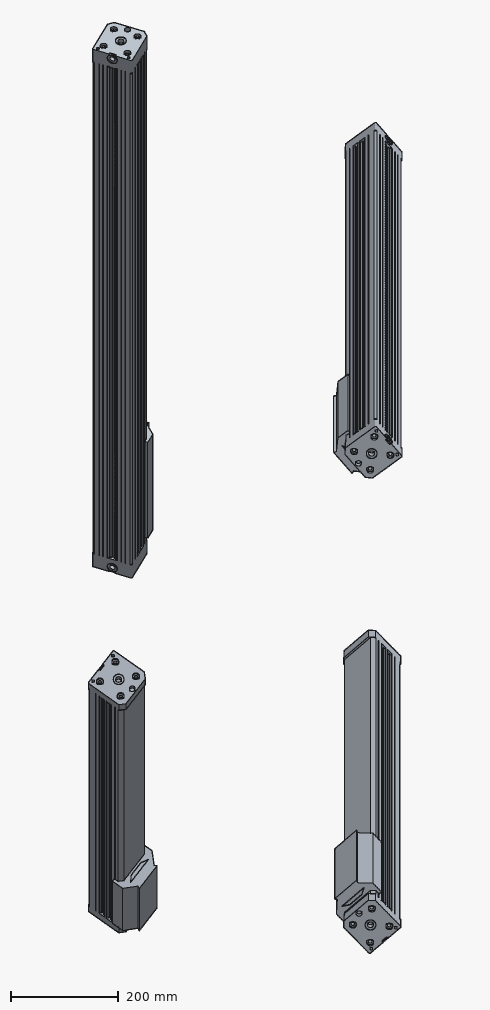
import cadquery as cq


total_length = 1350.0
half_width = 40.0
front_y = -half_width

tube_back_y = 37.5
tube_edge_chamfer = 4.0
tube_back_chamfer = 7.5

cap_length = 34.5
cap_back_y = 41.0
cap_back_chamfer = 9.5
cap_edge_fillet = 2.0

screw_offset = 24.0
screw_bore_diameter = 13.0
screw_hole_diameter = 6.65
screw_bore_depth = 6.0
screw_hole_depth = 20.0
pin_hole_diameter = 4.92
pin_hole_x = 31.0
pin_hole_y = -34.5
cushion_hole_y = 33.0
cushion_hole_diameter = 11.0
blind_hole_depth = 12.0
port_diameter = 20.0
top_port_y = 1.5
top_port_bore_diameter = 11.0
side_port_bore_diameter = 10.0
port_recess_depth = 1.5
port_bore_depth = 16.0
side_port_inset = 12.0
cap_notch_width = 12.0
cap_notch_depth = 3.5
cap_notch_height = 1.5

front_groove_widths = (20.0, 12.0, 4.0)
side_groove_widths = (12.2, 4.0)
side_groove_offset = 8.2
groove_depth = 6.0
groove_overrun = 1.0
narrow_groove_width = 1.0
narrow_groove_depth = 1.0
front_narrow_offsets = (18.5, 26.5)
side_narrow_offset = 22.3

carriage_length = 250.0
carriage_bottom_z = 52.0
carriage_half_width = 46.0
carriage_back_y = 70.0
carriage_leg_y = 21.0
carriage_top_half_width = 28.0
lip_height = 5.0
lip_undercut = 2.5
shoulder_y = 45.0
end_recess_back_y = 49.5
end_recess_back_half_width = 28.0
end_recess_front_half_width = 15.0
end_recess_front_y = 42.0
end_recess_depth = 2.0


def prism(points, bottom_z, height):
    """Closed outline in the XY plane, extruded upward from bottom_z."""
    return cq.Workplane("XY").workplane(offset=bottom_z).polyline(points).close().extrude(height)


def mirrored(right_points):
    """Full outline from the points of its +X half."""
    left_points = [(-x, y) for x, y in reversed(right_points)]
    return right_points + left_points


def backed_outline(back_y, back_chamfer):
    """Square outline with chamfered back corners."""
    return mirrored([
        (half_width, front_y),
        (half_width, back_y - back_chamfer),
        (half_width - back_chamfer, back_y),
    ])


def make_tube_blank(bottom_z, height):
    """Tube without its grooves."""
    blank = prism(backed_outline(tube_back_y, tube_back_chamfer), bottom_z, height)
    return blank.faces("<Y").edges("|Z").chamfer(tube_edge_chamfer)


def narrow_groove(offset):
    """Plain square groove; its outline starts a little outside the face."""
    half = narrow_groove_width / 2
    return [
        (offset - half, -groove_overrun),
        (offset - half, narrow_groove_depth),
        (offset + half, narrow_groove_depth),
        (offset + half, -groove_overrun),
    ]


def stepped_groove(offset, widths):
    """Groove that gets narrower in equal steps, from the face down to groove_depth."""
    step_depth = groove_depth / len(widths)
    right_points = [(widths[0] / 2, -groove_overrun)]
    for level, width in enumerate(widths):
        if level > 0:
            right_points.append((width / 2, level * step_depth))
        right_points.append((width / 2, (level + 1) * step_depth))
    return [(offset + x, depth) for x, depth in mirrored(right_points)]


def make_tube():
    """Extruded tube between the caps; groove outlines hold (place along the face, depth below it)."""
    tube_length = total_length - 2 * cap_length
    tube = make_tube_blank(cap_length, tube_length)
    front_grooves = [stepped_groove(0, front_groove_widths)]
    for side in (-1, 1):
        for offset in front_narrow_offsets:
            front_grooves.append(narrow_groove(side * offset))
    for groove in front_grooves:
        tube = tube.cut(prism([(x, front_y + depth) for x, depth in groove], cap_length, tube_length))
    for face in (-1, 1):
        for side in (-1, 1):
            side_grooves = (
                stepped_groove(side * side_groove_offset, side_groove_widths),
                narrow_groove(side * side_narrow_offset),
            )
            for groove in side_grooves:
                points = [(face * (half_width - depth), y) for y, depth in groove]
                tube = tube.cut(prism(points, cap_length, tube_length))
    return tube


def make_cap():
    """Top cap standing on Z = 0, its outer face at cap_length."""
    cap = prism(backed_outline(cap_back_y, cap_back_chamfer), 0, cap_length)
    cap = cap.faces("<Y").edges("|Z").fillet(cap_edge_fillet)
    top_origin = (0, 0, cap_length)
    sides = (-1, 1)

    screw_points = [(i * screw_offset, j * screw_offset) for i in sides for j in sides]
    cap = cap.faces(">Z").workplane(origin=top_origin).pushPoints(screw_points).cboreHole(
        screw_hole_diameter, screw_bore_diameter, screw_bore_depth, screw_hole_depth)

    cap = cap.faces(">Z").workplane(origin=top_origin).center(0, top_port_y).cboreHole(
        top_port_bore_diameter, port_diameter, port_recess_depth, port_bore_depth)

    pin_points = [(i * pin_hole_x, pin_hole_y) for i in sides]
    cap = cap.faces(">Z").workplane(origin=top_origin).pushPoints(pin_points).hole(
        pin_hole_diameter, blind_hole_depth)
    cap = cap.faces(">Z").workplane(origin=top_origin).center(0, cushion_hole_y).hole(
        cushion_hole_diameter, blind_hole_depth)

    side_port_origin = (0, front_y, cap_length - side_port_inset)
    cap = cap.faces("<Y").workplane(origin=side_port_origin).cboreHole(
        side_port_bore_diameter, port_diameter, port_recess_depth, port_bore_depth)

    notch = cq.Workplane("XY").box(cap_notch_width, 2 * cap_notch_depth, 2 * cap_notch_height)
    return cap.cut(notch.translate((0, front_y, cap_length)))


def make_cylinder():
    """Tube with a cap on each end, as one solid."""
    top_cap = make_cap().translate((0, 0, total_length - cap_length))
    bottom_cap = top_cap.mirror("XY", (0, 0, total_length / 2))
    return make_tube().union(top_cap).union(bottom_cap)


def make_carriage():
    """Saddle over the back of the tube, with undercut lips along its mounting face."""
    lip_y = carriage_back_y - lip_height
    neck = carriage_top_half_width - lip_undercut
    outline = mirrored([
        (carriage_half_width, carriage_leg_y),
        (carriage_half_width, shoulder_y),
        (neck, lip_y),
        (carriage_top_half_width, carriage_back_y),
    ])
    carriage = prism(outline, carriage_bottom_z, carriage_length)
    carriage = carriage.cut(make_tube_blank(0, total_length))
    recess_outline = mirrored([
        (end_recess_front_half_width, end_recess_front_y),
        (end_recess_back_half_width, end_recess_back_y),
    ])
    for bottom_z in (carriage_bottom_z, carriage_bottom_z + carriage_length - end_recess_depth):
        carriage = carriage.cut(prism(recess_outline, bottom_z, end_recess_depth))
    return carriage


cylinder = make_cylinder()
carriage = make_carriage()
result = cq.Compound.makeCompound([cylinder.val(), carriage.val()])